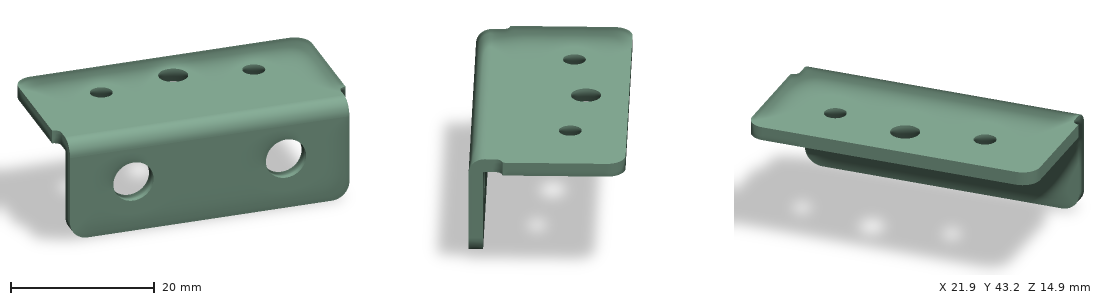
import cadquery as cq

length = 43.15
depth = 21.85
height = 14.95
thickness = 2.0
inner_bend_radius = 0.25
corner_radius = 2.6

relief_width = 1.05
relief_start = 17.1
flange_length = length - 2 * relief_width

hole_spacing = 22.45
small_hole_diameter = 3.2
small_hole_x = 7.9
center_hole_diameter = 4.2
center_hole_x = 6.0
flange_hole_diameter = 5.9
flange_hole_drop = 7.35

outer_bend_radius = thickness + inner_bend_radius
bend_x = depth - outer_bend_radius
bend_z = height - outer_bend_radius
hole_y_positions = (-hole_spacing / 2, hole_spacing / 2)


def make_plate():
    """Flat plate with rounded free corners, up to the start of the bend."""
    return (
        cq.Workplane("XY", origin=(0, 0, height - thickness))
        .box(bend_x, length, thickness, centered=(False, True, False))
        .edges("|Z and <X")
        .fillet(corner_radius)
    )


def make_bend():
    """Quarter ring joining the plate to the flange."""
    ring = (
        cq.Workplane("XZ", origin=(bend_x, flange_length / 2, bend_z))
        .circle(outer_bend_radius)
        .circle(inner_bend_radius)
        .extrude(flange_length)
    )
    quarter = cq.Workplane("XY", origin=(bend_x, 0, bend_z)).box(
        outer_bend_radius, flange_length, outer_bend_radius, centered=(False, True, False)
    )
    return ring.intersect(quarter)


def make_flange():
    """Vertical flange with rounded lower corners."""
    return (
        cq.Workplane("XY", origin=(depth - thickness, 0, 0))
        .box(thickness, flange_length, bend_z, centered=(False, True, False))
        .edges("|X and <Z")
        .fillet(corner_radius)
    )


def make_relief(side):
    """Cutter for one notch with a rounded inner corner; side is +1 or -1 along Y."""
    return (
        cq.Workplane("XY")
        .moveTo(relief_start, side * length / 2)
        .radiusArc((relief_start + relief_width, side * flange_length / 2), -side * relief_width)
        .lineTo(depth, side * flange_length / 2)
        .lineTo(depth, side * length / 2)
        .close()
        .extrude(height)
    )


plate = make_plate()
for side in (-1, 1):
    plate = plate.cut(make_relief(side))

small_holes = (
    cq.Workplane("XY")
    .pushPoints([(small_hole_x, y) for y in hole_y_positions])
    .circle(small_hole_diameter / 2)
    .extrude(height)
)
center_hole = (
    cq.Workplane("XY")
    .center(center_hole_x, 0)
    .circle(center_hole_diameter / 2)
    .extrude(height)
)
flange_holes = (
    cq.Workplane("YZ")
    .pushPoints([(y, height - flange_hole_drop) for y in hole_y_positions])
    .circle(flange_hole_diameter / 2)
    .extrude(depth)
)

result = (
    plate.union(make_bend())
    .union(make_flange())
    .cut(small_holes)
    .cut(center_hole)
    .cut(flange_holes)
)